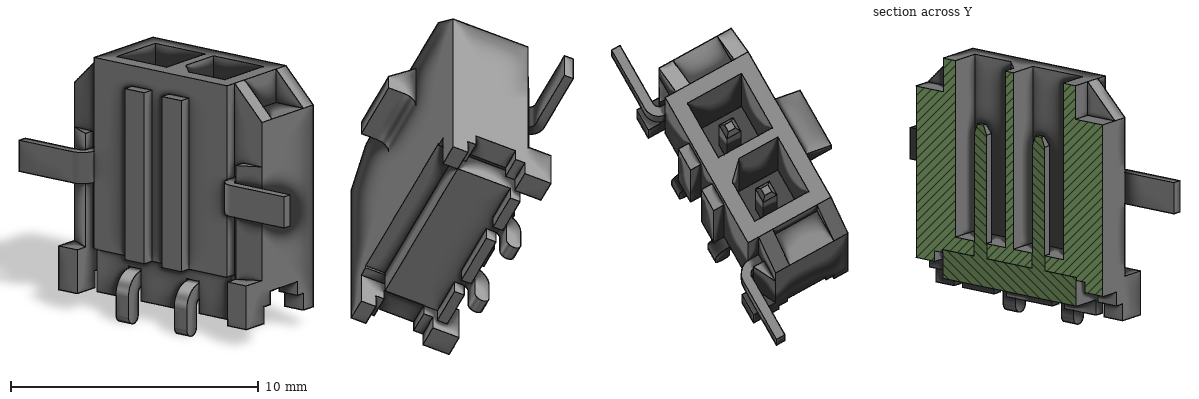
import cadquery as cq
import math


shroud_half_width = 3.43
shroud_depth = 3.85
shroud_top = 9.9
shroud_bottom = 1.84
pitch = 3.0
cavity_size_x = 2.57
cavity_size_y = 2.51
cavity_corner_cut = 0.71
wall = 0.65
cavity_floor = shroud_bottom + wall

wing_half_width = 4.83
wing_front = 0.49
wing_shoulder = shroud_top - (wing_half_width - shroud_half_width)
strip_bottom = 1.72
leg_inner_x = 3.88
wedge_top = 6.62

foot_front = -0.53
foot_back = 0.64
foot_height = 0.71
arch_front = 1.05
arch_back = 2.83
arch_top = 1.28

rib_width = 1.0
rib_centre_x = 0.95
rib_height = 0.49
rib_top = 9.04

latch_width = 2.6
latch_reach = 1.21
latch_ramp_top = 9.35
latch_ramp_bottom = 8.16
latch_bottom = 7.4
latch_fillet = 0.5

tab_thickness = 0.4
tab_bend_radius = 0.65
tab_end_x = 6.82
tab_front = -0.59
tab_bottom = 4.64
tab_height = 1.31

base_half_width = 3.45
base_front = 0.2
base_back = 2.99
base_bottom = 0.64
slot_top = 1.35

pin_size = 0.64
pin_tip_size = 0.33
pin_tip_length = 0.4
pin_top = 7.44
pin_y = shroud_depth / 2
pin_leg_front = -0.6
pin_bottom = -0.85
pin_run_top = 1.28
pin_bend_radius = 0.93

SIDES = (-1, 1)


def box(x0, x1, y0, y1, z0, z1):
    """Solid block between two opposite corners."""
    return cq.Workplane("XY").box(x1 - x0, y1 - y0, z1 - z0, centered=False).translate((x0, y0, z0))


def to_side(shape, side):
    """Return a right-hand feature as it is, or mirrored to the left."""
    return shape if side > 0 else shape.mirror("YZ")


def quarter_point(centre, radius, x_sign, y_sign):
    """Middle of a quarter arc in the given quadrant."""
    reach = radius * math.sqrt(0.5)
    return (centre[0] + x_sign * reach, centre[1] + y_sign * reach)


def make_wing():
    """Right wing: shoulder with two sloped flanges, and the strip beside the base."""
    body = box(base_half_width, wing_half_width, wing_front, shroud_depth, strip_bottom, wing_shoulder)
    inner = box(shroud_half_width, base_half_width, wing_front, shroud_depth, shroud_bottom, wing_shoulder)
    flange_profile = [
        (shroud_half_width, wing_shoulder),
        (wing_half_width, wing_shoulder),
        (shroud_half_width, shroud_top),
    ]
    wing = body.union(inner)
    for back in (wing_front + wall, shroud_depth):
        flange = cq.Workplane("XZ", origin=(0, back, 0)).polyline(flange_profile).close().extrude(wall)
        wing = wing.union(flange)
    return wing


def make_leg():
    """Right leg: side plate, front and rear feet, stepped arch and the wedge above the front foot."""
    leg = box(leg_inner_x, wing_half_width, wing_front, shroud_depth, 0, wing_shoulder)
    leg = leg.union(box(leg_inner_x, wing_half_width, foot_front, foot_back, 0, shroud_bottom))
    leg = leg.cut(box(leg_inner_x, wing_half_width, foot_back, shroud_depth - wall, 0, foot_height))
    leg = leg.cut(box(leg_inner_x, wing_half_width, arch_front, arch_back, 0, arch_top))
    wedge = (
        cq.Workplane("XY", origin=(0, 0, shroud_bottom))
        .polyline([(leg_inner_x, wing_front), (leg_inner_x, 0), (wing_half_width, wing_front)])
        .close()
        .extrude(wedge_top - shroud_bottom)
    )
    return leg.union(wedge)


def make_tab():
    """Right solder tab: strip out of the wing front, bent outwards along X."""
    inner_radius = tab_bend_radius - tab_thickness
    inner_x = shroud_half_width + tab_thickness
    centre = (shroud_half_width + tab_bend_radius, tab_front + tab_bend_radius)
    return (
        cq.Workplane("XY", origin=(0, 0, tab_bottom))
        .moveTo(shroud_half_width, wing_front)
        .lineTo(shroud_half_width, centre[1])
        .threePointArc(quarter_point(centre, tab_bend_radius, -1, -1), (centre[0], tab_front))
        .lineTo(tab_end_x, tab_front)
        .lineTo(tab_end_x, tab_front + tab_thickness)
        .lineTo(centre[0], tab_front + tab_thickness)
        .threePointArc(quarter_point(centre, inner_radius, -1, -1), (inner_x, centre[1]))
        .lineTo(inner_x, wing_front)
        .close()
        .extrude(tab_height)
    )


def make_latch():
    """Ramped latch on the rear face, with a hollow fillet under it."""
    back = shroud_depth + latch_reach
    fillet_centre = (shroud_depth + latch_fillet, latch_bottom - latch_fillet)
    return (
        cq.Workplane("YZ", origin=(-latch_width / 2, 0, 0))
        .moveTo(shroud_depth, latch_ramp_top)
        .lineTo(back, latch_ramp_bottom)
        .lineTo(back, latch_bottom)
        .lineTo(fillet_centre[0], latch_bottom)
        .threePointArc(
            quarter_point(fillet_centre, latch_fillet, -1, 1),
            (shroud_depth, fillet_centre[1]),
        )
        .close()
        .extrude(latch_width)
    )


def make_cavity(centre_x, corner_cut):
    """Volume of one contact cavity; a corner cut on the inner front corner keys it."""
    x0 = centre_x - cavity_size_x / 2
    y0 = pin_y - cavity_size_y / 2
    cavity = box(x0, x0 + cavity_size_x, y0, y0 + cavity_size_y, cavity_floor, shroud_top)
    if corner_cut:
        key = (
            cq.Workplane("XY", origin=(0, 0, cavity_floor))
            .polyline([(x0, y0), (x0 + corner_cut, y0), (x0, y0 + corner_cut)])
            .close()
            .extrude(shroud_top - cavity_floor)
        )
        cavity = cavity.cut(key)
    return cavity


def make_pin_blade(centre_x):
    """Upright square blade of a pin with a tapered tip, standing on the horizontal run."""
    shoulder = pin_top - pin_tip_length
    half = pin_size / 2
    blade = box(
        centre_x - half, centre_x + half, pin_y - half, pin_y + half, pin_run_top - pin_size, shoulder
    )
    tip = (
        cq.Workplane("XY", origin=(centre_x, pin_y, shoulder))
        .rect(pin_size, pin_size)
        .workplane(offset=pin_tip_length)
        .rect(pin_tip_size, pin_tip_size)
        .loft()
    )
    return blade.union(tip)


def make_pin_tail(centre_x):
    """Horizontal run of a pin, bent down at the front to a leg with a round end."""
    half = pin_size / 2
    inner_radius = pin_bend_radius - pin_size
    run_bottom = pin_run_top - pin_size
    leg_back = pin_leg_front + pin_size
    centre = (pin_leg_front + pin_bend_radius, pin_run_top - pin_bend_radius)
    end_start = pin_bottom + half
    return (
        cq.Workplane("YZ", origin=(centre_x - half, 0, 0))
        .moveTo(pin_y, pin_run_top)
        .lineTo(centre[0], pin_run_top)
        .threePointArc(quarter_point(centre, pin_bend_radius, -1, 1), (pin_leg_front, centre[1]))
        .lineTo(pin_leg_front, end_start)
        .threePointArc((pin_leg_front + half, pin_bottom), (leg_back, end_start))
        .lineTo(leg_back, centre[1])
        .threePointArc(quarter_point(centre, inner_radius, -1, 1), (centre[0], run_bottom))
        .lineTo(pin_y, run_bottom)
        .close()
        .extrude(pin_size)
    )


def make_housing():
    """Shroud with wings, legs, ribs, latch and solder tabs."""
    housing = box(-shroud_half_width, shroud_half_width, 0, shroud_depth, shroud_bottom, shroud_top)
    for side in SIDES:
        for feature in (make_wing(), make_leg(), make_tab()):
            housing = housing.union(to_side(feature, side))
        rib_x = side * rib_centre_x
        rib = box(rib_x - rib_width / 2, rib_x + rib_width / 2, -rib_height, 0, shroud_bottom, rib_top)
        housing = housing.union(rib)
    housing = housing.union(make_latch())

    housing = housing.cut(make_cavity(-pitch / 2, 0))
    housing = housing.cut(make_cavity(pitch / 2, cavity_corner_cut))
    for side in SIDES:
        housing = housing.cut(make_pin_blade(side * pitch / 2))
    return housing


def make_base():
    """Base block under the shroud with a slotted front apron, carrying both contact pins."""
    base = box(-base_half_width, base_half_width, base_front, base_back, base_bottom, shroud_bottom)
    base = base.union(box(-base_half_width, base_half_width, base_front, foot_back, 0, shroud_bottom))
    for side in SIDES:
        pin_x = side * pitch / 2
        base = base.cut(box(pin_x - pin_size / 2, pin_x + pin_size / 2, base_front, foot_back, 0, slot_top))
        base = base.union(make_pin_tail(pin_x)).union(make_pin_blade(pin_x))
    return base


housing = make_housing()
base = make_base()
result = cq.Compound.makeCompound([housing.solids().val(), base.solids().val()])